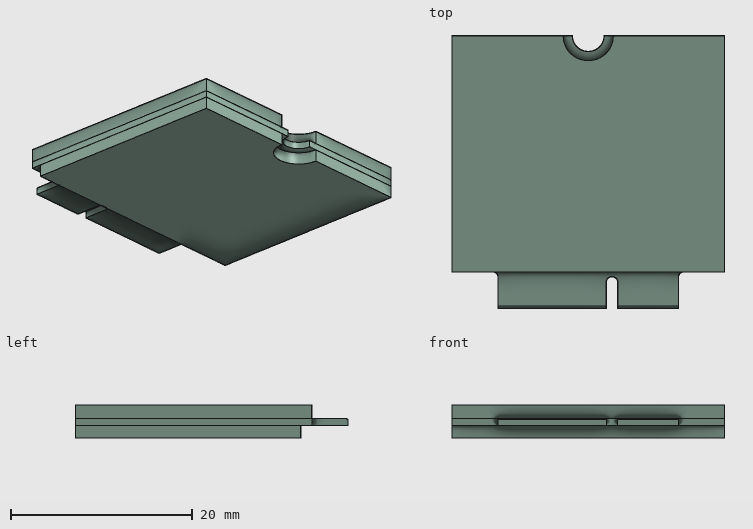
import cadquery as cq

WIDTH = 30.0
BACK_Y = 15.0
FRONT_Y = -15.0

BOTTOM_COVER_THICKNESS = 1.38
BOARD_THICKNESS = 0.78
TOP_COVER_THICKNESS = 1.5
BOARD_BOTTOM_Z = BOTTOM_COVER_THICKNESS
BOARD_TOP_Z = BOARD_BOTTOM_Z + BOARD_THICKNESS

TAB_LENGTH = 4.0
TAB_WIDTH = 19.85
TAB_ROOT_RADIUS = 0.5
TAB_CHAMFER_LENGTH = 0.25
TAB_CHAMFER_HEIGHT = 0.12
SHOULDER_Y = FRONT_Y + TAB_LENGTH

KEY_WIDTH = 1.25
KEY_DEPTH = 3.48
KEY_X = 2.6

BOTTOM_COVER_SETBACK = 1.2
BOARD_NOTCH_RADIUS = 1.75
COVER_NOTCH_RADIUS = 2.75


def make_plate(front_y, bottom_z, thickness, notch_radius):
    """Full-width plate from front_y to the back edge, with a half-round notch."""
    plate = cq.Workplane("XY").box(
        WIDTH, BACK_Y - front_y, thickness, centered=(True, False, False)
    ).translate((0, front_y, bottom_z))
    notch = (
        cq.Workplane("XY", origin=(0, BACK_Y, bottom_z))
        .circle(notch_radius)
        .extrude(thickness)
    )
    return plate.cut(notch)


def make_tab():
    """Connector tab with concave root fillets and a chamfered upper front edge."""
    half_width = TAB_WIDTH / 2
    root_half_width = half_width + TAB_ROOT_RADIUS
    root_y = SHOULDER_Y - TAB_ROOT_RADIUS
    arc_offset = TAB_ROOT_RADIUS * (1 - 0.5**0.5)
    arc_mid_x = half_width + arc_offset
    arc_mid_y = SHOULDER_Y - arc_offset
    tab = (
        cq.Workplane("XY", origin=(0, 0, BOARD_BOTTOM_Z))
        .moveTo(-root_half_width, SHOULDER_Y)
        .threePointArc((-arc_mid_x, arc_mid_y), (-half_width, root_y))
        .lineTo(-half_width, FRONT_Y)
        .lineTo(half_width, FRONT_Y)
        .lineTo(half_width, root_y)
        .threePointArc((arc_mid_x, arc_mid_y), (root_half_width, SHOULDER_Y))
        .close()
        .extrude(BOARD_THICKNESS)
    )
    edge_wedge = (
        cq.Workplane("YZ", origin=(-half_width, 0, 0))
        .moveTo(FRONT_Y, BOARD_TOP_Z)
        .lineTo(FRONT_Y + TAB_CHAMFER_LENGTH, BOARD_TOP_Z)
        .lineTo(FRONT_Y, BOARD_TOP_Z - TAB_CHAMFER_HEIGHT)
        .close()
        .extrude(TAB_WIDTH)
    )
    return tab.cut(edge_wedge)


def make_key_slot():
    """Round-ended cutter, open at the front of the tab."""
    radius = KEY_WIDTH / 2
    tip_y = FRONT_Y + KEY_DEPTH
    return (
        cq.Workplane("XY", origin=(0, 0, BOARD_BOTTOM_Z))
        .moveTo(KEY_X - radius, FRONT_Y)
        .lineTo(KEY_X - radius, tip_y - radius)
        .threePointArc((KEY_X, tip_y), (KEY_X + radius, tip_y - radius))
        .lineTo(KEY_X + radius, FRONT_Y)
        .close()
        .extrude(BOARD_THICKNESS)
    )


def make_board():
    """Circuit board: notched plate with the keyed connector tab."""
    plate = make_plate(SHOULDER_Y, BOARD_BOTTOM_Z, BOARD_THICKNESS, BOARD_NOTCH_RADIUS)
    return plate.union(make_tab()).cut(make_key_slot())


bottom_cover = make_plate(
    SHOULDER_Y + BOTTOM_COVER_SETBACK, 0, BOTTOM_COVER_THICKNESS, COVER_NOTCH_RADIUS
)
board = make_board()
top_cover = make_plate(SHOULDER_Y, BOARD_TOP_Z, TOP_COVER_THICKNESS, COVER_NOTCH_RADIUS)

result = cq.Compound.makeCompound([bottom_cover.val(), board.val(), top_cover.val()])